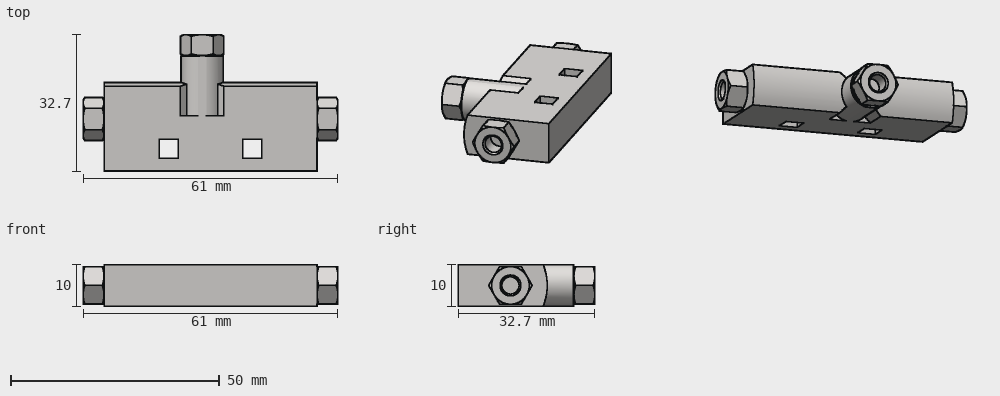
import cadquery as cq
import math

BODY_LENGTH = 51.0
BODY_HEIGHT = 10.0
BODY_EDGE_DEPTH = 20.35
BACK_BULGE = 0.95
HALF_HEIGHT = BODY_HEIGHT / 2

HOLE_SIDE = 4.5
HOLE_SPACING = 20.0
HOLE_Y = 5.4

NUT_FLATS = 9.0
NUT_CORNERS = NUT_FLATS / math.cos(math.pi / 6)
NUT_LENGTH = 5.0
CHAMFER_ANGLE = math.radians(30)
SIDE_NUT_Y = 12.5

BORE_DIAMETER = 4.13
BORE_MOUTH_DIAMETER = 5.0
BORE_DEPTH = NUT_LENGTH
COUNTERSINK_DEPTH = (BORE_MOUTH_DIAMETER - BORE_DIAMETER) / 2

BRANCH_X = -2.0
BRANCH_DIAMETER = 10.2
BRANCH_CHAMFER_LENGTH = 0.2
BRANCH_CHAMFER_WIDTH = 0.1
OVERALL_DEPTH = 32.7
BRANCH_END_Y = OVERALL_DEPTH - NUT_LENGTH

RELIEF_WIDTH = NUT_CORNERS
RELIEF_START_Y = 13.3


def make_body():
    """Block along X whose back face is a shallow arc."""
    return (
        cq.Workplane("YZ", origin=(-BODY_LENGTH / 2, 0, 0))
        .moveTo(0, -HALF_HEIGHT)
        .lineTo(BODY_EDGE_DEPTH, -HALF_HEIGHT)
        .threePointArc((BODY_EDGE_DEPTH + BACK_BULGE, 0), (BODY_EDGE_DEPTH, HALF_HEIGHT))
        .lineTo(0, HALF_HEIGHT)
        .close()
        .extrude(BODY_LENGTH)
    )


def make_square_holes():
    """Pair of square prisms that pierce the full body height."""
    return (
        cq.Workplane("XY", origin=(0, HOLE_Y, -HALF_HEIGHT))
        .pushPoints([(-HOLE_SPACING / 2, 0), (HOLE_SPACING / 2, 0)])
        .rect(HOLE_SIDE, HOLE_SIDE)
        .extrude(BODY_HEIGHT)
    )


def make_relief():
    """Wedges above and below the branch, with 45 degree side walls."""
    half_width = RELIEF_WIDTH / 2
    length = BODY_EDGE_DEPTH + BACK_BULGE - RELIEF_START_Y
    relief = cq.Workplane("XY")
    for side in (1, -1):
        wedge = (
            cq.Workplane("XZ", origin=(BRANCH_X, RELIEF_START_Y, 0))
            .polyline([
                (-half_width, side * HALF_HEIGHT),
                (half_width, side * HALF_HEIGHT),
                (0, side * (HALF_HEIGHT - half_width)),
            ])
            .close()
            .extrude(-length)
        )
        relief = relief.add(wedge)
    return relief.combine()


def make_branch():
    """Cylinder with a slightly chamfered end and flats level with the body faces."""
    length = BRANCH_END_Y - RELIEF_START_Y
    start = (BRANCH_X, RELIEF_START_Y, 0)
    cylinder = (
        cq.Workplane("XZ", origin=start)
        .circle(BRANCH_DIAMETER / 2)
        .extrude(-length)
        .faces(">Y")
        .chamfer(BRANCH_CHAMFER_LENGTH, BRANCH_CHAMFER_WIDTH)
    )
    slab = cq.Workplane("XZ", origin=start).rect(2 * BRANCH_DIAMETER, BODY_HEIGHT).extrude(-length)
    return cylinder.intersect(slab)


def make_turned(plane, profile):
    """Solid turned about the plane's normal from (radius, height) points."""
    outline = cq.Workplane("XZ").polyline(profile).close()
    turned = outline.revolve(360, (0, 0, 0), (0, 1, 0))
    return cq.Workplane(turned.val().located(cq.Location(plane)))


def make_nut(plane):
    """Hexagon nut standing on the plane, chamfered at both ends."""
    flat_radius = NUT_FLATS / 2
    corner_radius = NUT_CORNERS / 2
    chamfer_length = (corner_radius - flat_radius) * math.tan(CHAMFER_ANGLE)
    hexagon = cq.Workplane(plane).polygon(6, NUT_CORNERS).extrude(NUT_LENGTH)
    envelope = make_turned(plane, [
        (0, 0),
        (flat_radius, 0),
        (corner_radius, chamfer_length),
        (corner_radius, NUT_LENGTH - chamfer_length),
        (flat_radius, NUT_LENGTH),
        (0, NUT_LENGTH),
    ])
    return hexagon.intersect(envelope)


def make_bore(plane):
    """Blind bore with a countersunk mouth at the outer end of a nut."""
    bore_radius = BORE_DIAMETER / 2
    mouth_radius = BORE_MOUTH_DIAMETER / 2
    return make_turned(plane, [
        (0, NUT_LENGTH - BORE_DEPTH),
        (bore_radius, NUT_LENGTH - BORE_DEPTH),
        (bore_radius, NUT_LENGTH - COUNTERSINK_DEPTH),
        (mouth_radius, NUT_LENGTH),
        (0, NUT_LENGTH),
    ])


NUT_PLANES = [
    cq.Plane(origin=(-BODY_LENGTH / 2, SIDE_NUT_Y, 0), xDir=(0, 1, 0), normal=(-1, 0, 0)),
    cq.Plane(origin=(BODY_LENGTH / 2, SIDE_NUT_Y, 0), xDir=(0, 1, 0), normal=(1, 0, 0)),
    cq.Plane(origin=(BRANCH_X, BRANCH_END_Y, 0), xDir=(1, 0, 0), normal=(0, 1, 0)),
]

result = make_body().cut(make_square_holes()).cut(make_relief()).union(make_branch())
for nut_plane in NUT_PLANES:
    result = result.union(make_nut(nut_plane)).cut(make_bore(nut_plane))